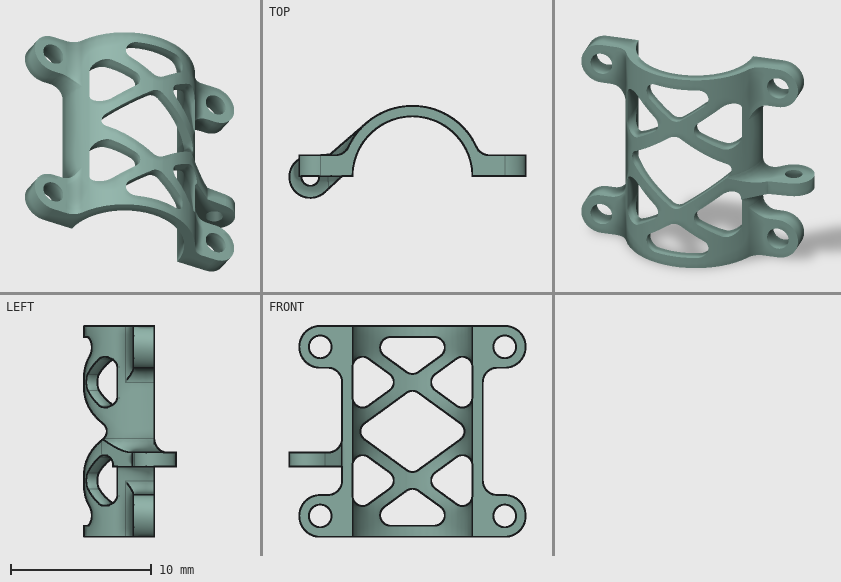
import cadquery as cq
import math

LENGTH = 15.0
OUTER_RADIUS = 5.0
BORE_RADIUS = 4.25
FILLET = 1.0

EAR_RADIUS = 1.5
EAR_THICKNESS = 1.5
EAR_X = 6.55
EAR_Z = LENGTH / 2 - EAR_RADIUS
EAR_HOLE = 1.6

LUG_X = -7.25
LUG_Y = -0.05
LUG_RADIUS = 1.5
LUG_HOLE = 1.25
LUG_BOTTOM = -2.5
LUG_THICKNESS = 1.0
LUG_TOP = LUG_BOTTOM + LUG_THICKNESS
LUG_BEND = (-5.85, 1.56)
ARM_ANGLE = 41.0
LUG_EDGE_ANGLE = 5.5

WINDOW_SLOPE = 0.727
WINDOW_FILLET = 0.7
END_WINDOW_FILLET = 0.74
DIAMOND_APEX_Z = 3.04
SIDE_APEX_X = 0.84
SIDE_APEX_Z = 3.5
END_APEX_Z = 3.91
END_RIM = 0.8


def cylinder_z(radius, bottom, height):
    return cq.Workplane("XY").workplane(offset=bottom).circle(radius).extrude(height)


def circle_edge(center, radius, angle):
    """Point on a circle at an angle in degrees."""
    turn = math.radians(angle)
    return (center[0] + radius * math.cos(turn), center[1] + radius * math.sin(turn))


def flared_disc(bottom, top, reach, flare_bottom, flare_top):
    """Disc about Z whose chosen faces blend into the pipe with a concave fillet."""
    mid = FILLET * (1 - math.sqrt(0.5))
    blend_end = OUTER_RADIUS + FILLET
    section = cq.Workplane("XZ")
    if flare_bottom:
        section = section.moveTo(0, bottom - FILLET).lineTo(OUTER_RADIUS, bottom - FILLET)
        section = section.threePointArc((OUTER_RADIUS + mid, bottom - mid), (blend_end, bottom))
    else:
        section = section.moveTo(0, bottom)
    section = section.lineTo(reach, bottom).lineTo(reach, top)
    if flare_top:
        section = section.lineTo(blend_end, top)
        section = section.threePointArc((OUTER_RADIUS + mid, top + mid), (OUTER_RADIUS, top + FILLET))
        section = section.lineTo(0, top + FILLET)
    else:
        section = section.lineTo(0, top)
    return section.close().revolve(360, (0, 0, 0), (0, 1, 0))


def make_pipe():
    front_half = cq.Workplane("XY").box(
        2 * OUTER_RADIUS, OUTER_RADIUS, LENGTH, centered=(True, False, True)
    )
    return cylinder_z(OUTER_RADIUS, -LENGTH / 2, LENGTH).intersect(front_half)


def make_ear(side, end):
    """Ear with a rounded tip, filleted into the pipe on its back and inner faces."""
    center_y = EAR_THICKNESS + FILLET
    center_x = math.sqrt((OUTER_RADIUS + FILLET) ** 2 - center_y**2)
    ratio = OUTER_RADIUS / (OUTER_RADIUS + FILLET)
    on_pipe = (side * center_x * ratio, center_y * ratio)
    arc_angle = (270 + math.degrees(math.atan2(center_y, center_x)) + 180) / 2
    arc_mid = circle_edge((center_x, center_y), FILLET, arc_angle)
    tip_x = EAR_X + EAR_RADIUS
    ear = (
        cq.Workplane("XY")
        .workplane(offset=-LENGTH / 2)
        .lineTo(side * tip_x, 0)
        .lineTo(side * tip_x, EAR_THICKNESS)
        .lineTo(side * center_x, EAR_THICKNESS)
        .threePointArc((side * arc_mid[0], arc_mid[1]), on_pipe)
        .close()
        .extrude(LENGTH)
    )
    face = LENGTH / 2
    inner = face - 2 * EAR_RADIUS
    if end > 0:
        flare = flared_disc(inner, face, tip_x + EAR_RADIUS, True, False)
    else:
        flare = flared_disc(-face, -inner, tip_x + EAR_RADIUS, False, True)
    rounded = (
        cq.Workplane("XZ")
        .center(side * EAR_X, end * EAR_Z)
        .circle(EAR_RADIUS)
        .extrude(-OUTER_RADIUS)
    )
    inboard = cq.Workplane("XY").box(2 * EAR_X, 2 * OUTER_RADIUS, LENGTH)
    return ear.intersect(flare).intersect(rounded.union(inboard))


def make_lug():
    """Lug and arm outline, with the top face filleted into the pipe."""
    center = (LUG_X, LUG_Y)
    upper = circle_edge(center, LUG_RADIUS, 90 + LUG_EDGE_ANGLE)
    tip = circle_edge(center, LUG_RADIUS, 180)
    corner = (-OUTER_RADIUS, 0)
    run = corner[0] - LUG_X
    rise = corner[1] - LUG_Y
    front_angle = math.degrees(math.atan2(rise, run) + math.asin(LUG_RADIUS / math.hypot(run, rise)))
    lower = circle_edge(center, LUG_RADIUS, front_angle - 90)
    tangent = circle_edge((0, 0), OUTER_RADIUS, 90 + ARM_ANGLE)
    inside_wall = (OUTER_RADIUS + BORE_RADIUS) / 2
    outline = (
        cq.Workplane("XY")
        .workplane(offset=LUG_BOTTOM)
        .moveTo(*upper)
        .threePointArc(tip, lower)
        .lineTo(*corner)
        .lineTo(-inside_wall, 0)
        .lineTo(*circle_edge((0, 0), inside_wall, 90 + ARM_ANGLE))
        .lineTo(*tangent)
        .lineTo(*LUG_BEND)
        .close()
        .extrude(LUG_THICKNESS + FILLET)
    )
    return outline.intersect(flared_disc(LUG_BOTTOM, LUG_TOP, LENGTH, False, True))


def window(points, fillet=WINDOW_FILLET):
    """Rounded polygonal cutter through the back of the pipe."""
    return (
        cq.Workplane("XZ").polyline(points).close().extrude(-2 * OUTER_RADIUS)
        .edges("|Y").fillet(fillet)
    )


def make_windows():
    diamond_x = DIAMOND_APEX_Z / WINDOW_SLOPE
    cutters = window(
        [(0, DIAMOND_APEX_Z), (diamond_x, 0), (0, -DIAMOND_APEX_Z), (-diamond_x, 0)]
    )
    end_z = LENGTH / 2 - END_RIM
    end_x = (end_z - END_APEX_Z) / WINDOW_SLOPE
    side_rise = (BORE_RADIUS - SIDE_APEX_X) * WINDOW_SLOPE
    for end in (-1, 1):
        cutters = cutters.union(
            window(
                [(0, end * END_APEX_Z), (end_x, end * end_z), (-end_x, end * end_z)],
                END_WINDOW_FILLET,
            )
        )
        side_z = end * SIDE_APEX_Z
        for side in (-1, 1):
            wall_x = side * BORE_RADIUS
            cutters = cutters.union(
                window([
                    (side * SIDE_APEX_X, side_z),
                    (wall_x, side_z + side_rise),
                    (wall_x, side_z - side_rise),
                ])
            )
    return cutters


body = make_pipe()
for ear_side in (-1, 1):
    for ear_end in (-1, 1):
        body = body.union(make_ear(ear_side, ear_end))
body = body.union(make_lug())

ear_centers = [(x, z) for x in (-EAR_X, EAR_X) for z in (-EAR_Z, EAR_Z)]
ear_holes = (
    cq.Workplane("XZ").pushPoints(ear_centers).circle(EAR_HOLE / 2).extrude(-EAR_THICKNESS)
)
lug_hole = cylinder_z(LUG_HOLE / 2, LUG_BOTTOM, LUG_THICKNESS).translate((LUG_X, LUG_Y, 0))

result = (
    body.cut(cylinder_z(BORE_RADIUS, -LENGTH / 2, LENGTH))
    .cut(make_windows())
    .cut(ear_holes)
    .cut(lug_hole)
)